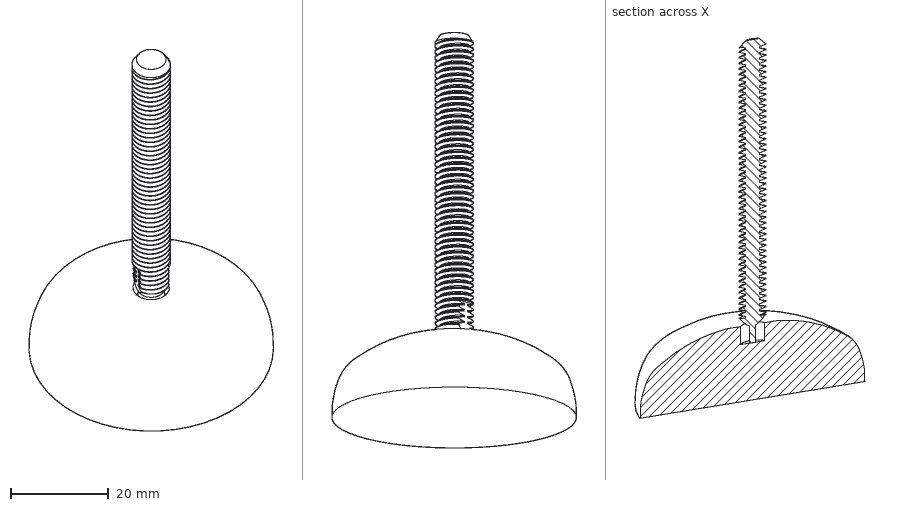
import cadquery as cq
import math

foot_radius = 50.0 / 2
foot_height = 16.9
rim_height = 0.9
flank_top_radius = 23.7
flank_top_height = 7.6
dome_edge_radius = 21.3
dome_edge_height = 10.8
crown_radius = 6.4
socket_radius = 7.4 / 2
socket_depth = 4.0
socket_floor = foot_height - socket_depth

stud_top = 80.5
thread_radius = 7.9 / 2
root_radius = 6.1 / 2
tip_radius = 6.0 / 2
tip_chamfer_height = 1.45
neck_radius = 5.5 / 2
neck_top = 16.65
thread_bottom = 18.7
thread_top = stud_top - tip_chamfer_height

thread_pitch = 1.25
root_width = 0.25
crest_width = 0.2
flank_slope = (thread_pitch - root_width - crest_width) / 2 / (thread_radius - root_radius)
groove_overcut = 0.1
runout_turns = 1.5
groove_turns = math.ceil((thread_top - thread_bottom) / thread_pitch + 2 * runout_turns)

across_flats = 6.0
flats_top = 23.9


def make_foot():
    """Revolve the outline, in which rim, flank, shoulder and dome run tangent, and sink the socket."""
    pad = (
        cq.Workplane("XZ")
        .lineTo(foot_radius, 0)
        .lineTo(foot_radius, rim_height)
        .tangentArcPoint((flank_top_radius, flank_top_height), relative=False)
        .tangentArcPoint((dome_edge_radius, dome_edge_height), relative=False)
        .tangentArcPoint((crown_radius, foot_height), relative=False)
        .lineTo(0, foot_height)
        .close()
        .revolve(360, (0, 0), (0, 1))
    )
    socket = cq.Workplane(origin=(0, 0, socket_floor)).circle(socket_radius).extrude(socket_depth)
    return pad.cut(socket)


def make_helix_turn(radius, start_height):
    helix = cq.Wire.makeHelix(thread_pitch, thread_pitch, radius)
    return helix.translate(cq.Vector(0, 0, start_height)).Edges()[0]


def make_groove_cap(helices, end):
    """Flat face across the groove section, at the start (0) or the end (1) of a turn."""
    corners = [helix.positionAt(end) for helix in helices]
    return cq.Face.makeFromWires(cq.Wire.makePolygon(corners, close=True))


def make_thread_groove():
    """Build the helical solid that the thread groove removes.

    In each turn, four helices run through the corners of the groove section and
    ruled faces join neighbouring helices. A flat cap closes each end of the groove.
    """
    outer_radius = thread_radius + groove_overcut
    root_half = root_width / 2
    outer_half = root_half + (outer_radius - root_radius) * flank_slope
    section = [
        (root_radius, -root_half),
        (outer_radius, -outer_half),
        (outer_radius, outer_half),
        (root_radius, root_half),
    ]
    groove_bottom = thread_bottom - runout_turns * thread_pitch

    turns = []
    for turn in range(groove_turns):
        turn_bottom = groove_bottom + turn * thread_pitch
        turns.append([make_helix_turn(radius, turn_bottom + offset) for radius, offset in section])

    faces = [make_groove_cap(turns[0], 0), make_groove_cap(turns[-1], 1)]
    for helices in turns:
        next_helices = helices[1:] + helices[:1]
        faces += [cq.Face.makeRuledSurface(a, b) for a, b in zip(helices, next_helices)]
    return cq.Solid.makeSolid(cq.Shell.makeShell(faces))


def make_threaded_rod():
    rod = cq.Workplane(origin=(0, 0, thread_bottom)).circle(thread_radius).extrude(thread_top - thread_bottom)
    return rod.cut(cq.Workplane(obj=make_thread_groove()), clean=False)


def make_tip():
    """Truncated cone that closes the upper end of the thread."""
    return cq.Workplane(
        obj=cq.Solid.makeCone(thread_radius, tip_radius, tip_chamfer_height, cq.Vector(0, 0, thread_top))
    )


def make_neck():
    """Plain neck in the socket, and the cone that widens it to the thread."""
    neck = cq.Workplane(origin=(0, 0, socket_floor)).circle(neck_radius).extrude(neck_top - socket_floor)
    cone_height = thread_bottom - neck_top
    cone = cq.Solid.makeCone(neck_radius, thread_radius, cone_height, cq.Vector(0, 0, neck_top))
    return neck.union(cq.Workplane(obj=cone))


def make_flat_cutters():
    """Blocks outside the two wrench flats."""
    block_depth = thread_radius
    block_offset = (across_flats + block_depth) / 2
    return (
        cq.Workplane(origin=(0, 0, neck_top))
        .pushPoints([(0, -block_offset), (0, block_offset)])
        .rect(2 * thread_radius, block_depth)
        .extrude(flats_top - neck_top)
    )


def make_stud():
    stud = make_threaded_rod().union(make_tip(), clean=False).union(make_neck(), clean=False)
    return stud.cut(make_flat_cutters(), clean=False)


foot = make_foot()
stud = make_stud()

result = cq.Compound.makeCompound([foot.solids().val(), stud.solids().val()])